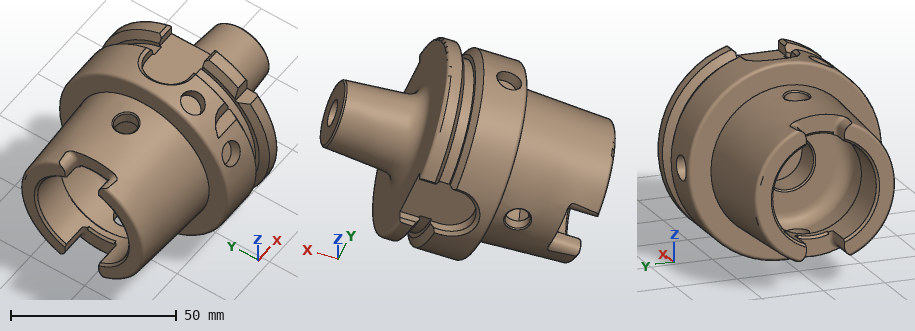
import cadquery as cq
import math


total_length = 83.0
shank_length = 32.0
flange_length = 25.9
flange_end = shank_length + flange_length
nose_root_radius = 5.0
nose_end_chamfer = 0.5
groove_center = 49.9
groove_floor_width = 3.65
groove_chamfer_width = 1.7

flange_diameter = 63.0
flange_radius = flange_diameter / 2
shank_root_radius = 24.3
taper_slope = 1 / 20
shank_mouth_radius = shank_root_radius - taper_slope * shank_length
nose_tip_radius = 10.6
nose_angle = math.radians(4.5)
nose_slope = math.tan(nose_angle)
groove_floor_radius = 27.5
groove_edge_radius = 28.9
edge_radius = 1.1

mouth_bore_radius = 16.85
mouth_chamfer = 0.75
clamp_shoulder_start = 12.9
clamp_bore_radius = 20.0
clamp_shoulder_tilt = math.radians(30)
clamp_shoulder_length = (clamp_bore_radius - mouth_bore_radius) * math.tan(clamp_shoulder_tilt)
bore_depth = 30.1
bore_floor_radius = 15.6
counterbore_radius = 8.5
counterbore_chamfer = 0.5
counterbore_depth = 10.0
through_radius = 4.2

slot_half_width = 6.2
slot_depth_top = 6.1
slot_depth_bottom = 10.0
slot_lip_radius = 2.9
slot_lip_start = 18.0
slot_floor_fillet = 1.25

cross_hole_position = 23.0
cross_hole_radius = 3.8
cross_hole_chamfer = 0.4

keyway_half_width = 8.0
keyway_center = 45.1
keyway_floor_height = 26.5
keyway_chamfer = 1.2

notch_offset = 19.9
notch_cutter_radius = 8.0
notch_cutter_position = 44.0
blind_hole_position = 38.2
blind_hole_radius = 4.0
blind_hole_depth = 3.8
diagonal_angle = 45.0
blind_hole_spread = 18.5
rear_hole_angle = 180.0

overcut = 4.15
selection_margin = 0.1


def revolve_about_axis(profile):
    return profile.close().revolve(360, (0, 0, 0), (1, 0, 0))


def make_round_ended_cutter(end_x, center_y, floor_z, radius):
    """Cutter with a round end centred at end_x, straight from there past the flange end."""
    height = flange_radius + overcut - floor_z
    length = flange_end + overcut - end_x
    plane = cq.Workplane("XY", origin=(end_x, center_y, floor_z))
    round_end = plane.circle(radius).extrude(height)
    return round_end.union(plane.box(length, 2 * radius, height, centered=(False, True, False)))


def make_body():
    """Shank, plain flange disc and nose as one solid of revolution."""
    root_center_x = flange_end + nose_root_radius
    nose_at_center = nose_tip_radius + nose_slope * (total_length - root_center_x)
    root_center_r = nose_at_center + nose_root_radius / math.cos(nose_angle)

    def root_point(angle):
        return (
            root_center_x + nose_root_radius * math.cos(angle),
            root_center_r + nose_root_radius * math.sin(angle),
        )

    root_end_angle = 1.5 * math.pi - nose_angle
    chamfer_start = total_length - nose_end_chamfer
    profile = (
        cq.Workplane("XY")
        .moveTo(0, 0)
        .lineTo(0, shank_mouth_radius)
        .lineTo(shank_length, shank_root_radius)
        .lineTo(shank_length, flange_radius)
        .lineTo(flange_end, flange_radius)
        .lineTo(*root_point(math.pi))
        .threePointArc(root_point((math.pi + root_end_angle) / 2), root_point(root_end_angle))
        .lineTo(chamfer_start, nose_tip_radius + nose_slope * nose_end_chamfer)
        .lineTo(total_length, nose_tip_radius - nose_end_chamfer)
        .lineTo(total_length, 0)
    )
    body = revolve_about_axis(profile)
    body = body.faces("<X").edges().fillet(edge_radius)
    flange_rims = cq.selectors.RadiusNthSelector(-1)
    return body.edges(flange_rims).edges("<X").fillet(edge_radius)


def make_bore():
    """Stepped bore with clamping shoulder, counterbore and through hole."""
    floor_fillet = clamp_bore_radius - bore_floor_radius
    counterbore_end = bore_depth + counterbore_depth
    profile = (
        cq.Workplane("XY")
        .moveTo(-overcut, 0)
        .lineTo(-overcut, mouth_bore_radius + mouth_chamfer)
        .lineTo(0, mouth_bore_radius + mouth_chamfer)
        .lineTo(mouth_chamfer, mouth_bore_radius)
        .lineTo(clamp_shoulder_start, mouth_bore_radius)
        .lineTo(clamp_shoulder_start + clamp_shoulder_length, clamp_bore_radius)
        .lineTo(bore_depth - floor_fillet, clamp_bore_radius)
        .radiusArc((bore_depth, bore_floor_radius), floor_fillet)
        .lineTo(bore_depth, counterbore_radius + counterbore_chamfer)
        .lineTo(bore_depth + counterbore_chamfer, counterbore_radius)
        .lineTo(counterbore_end, counterbore_radius)
        .lineTo(counterbore_end, through_radius)
        .lineTo(total_length + overcut, through_radius)
        .lineTo(total_length + overcut, 0)
    )
    return revolve_about_axis(profile)


def make_drive_slot(depth, side):
    """Slot from the shank mouth; side is +1 for the top and -1 for the bottom."""
    lip_y = slot_half_width + slot_lip_radius
    lip_top = slot_lip_start + slot_lip_radius
    lip_diagonal = slot_lip_radius * math.sqrt(0.5)
    lip_middle = (lip_y - lip_diagonal, slot_lip_start + lip_diagonal)
    inner_z = mouth_bore_radius / 2
    outer_z = flange_radius
    outer_y = lip_y + overcut
    slot = (
        cq.Workplane("YZ")
        .moveTo(0, inner_z)
        .lineTo(slot_half_width, inner_z)
        .lineTo(slot_half_width, slot_lip_start)
        .threePointArc(lip_middle, (lip_y, lip_top))
        .lineTo(outer_y, lip_top)
        .lineTo(outer_y, outer_z)
        .lineTo(0, outer_z)
        .mirrorY()
        .extrude(depth + overcut)
        .translate((-overcut, 0, 0))
        .faces(">X")
        .edges()
        .fillet(slot_floor_fillet)
    )
    bore_edge = revolve_about_axis(
        cq.Workplane("XY")
        .moveTo(0, 0)
        .lineTo(0, mouth_bore_radius + mouth_chamfer)
        .lineTo(depth, mouth_bore_radius + mouth_chamfer)
        .lineTo(depth + mouth_chamfer, mouth_bore_radius)
        .lineTo(depth + mouth_chamfer, 0)
    )
    chamfer_width = 2 * (slot_half_width - slot_floor_fillet)
    chamfer_span = cq.Workplane("XY").box(
        total_length, chamfer_width, flange_radius, centered=(True, True, False)
    )
    slot = slot.union(bore_edge.intersect(chamfer_span))
    return slot if side > 0 else slot.mirror("XY")


def cut_cross_hole(body):
    """Hole along Z through both shank walls, with chamfered outer rims."""
    hole = (
        cq.Workplane("XY")
        .center(cross_hole_position, 0)
        .circle(cross_hole_radius)
        .extrude(flange_radius, both=True)
    )
    body = body.cut(hole)
    reach = cross_hole_radius + selection_margin
    for side in (1, -1):
        wall_middle = (clamp_bore_radius + shank_root_radius) / 2
        low, high = sorted((side * wall_middle, side * flange_radius))
        outer_rim = cq.selectors.BoxSelector(
            (cross_hole_position - reach, -reach, low),
            (cross_hole_position + reach, reach, high),
            boundingbox=True,
        )
        body = body.edges(outer_rim).chamfer(cross_hole_chamfer)
    return body


def cut_keyways(body):
    """Round-ended keyways, open at the flange end, with chamfered rims."""
    reach = keyway_half_width + selection_margin
    for side in (1, -1):
        keyway = make_round_ended_cutter(
            keyway_center, 0, keyway_floor_height, keyway_half_width
        )
        if side < 0:
            keyway = keyway.mirror("XY")
        body = body.cut(keyway)
        rim_low = (keyway_floor_height + flange_radius) / 2
        low, high = sorted((side * rim_low, side * (flange_radius + selection_margin)))
        rim = cq.selectors.BoxSelector(
            (keyway_center - reach, -reach, low),
            (flange_end + selection_margin, reach, high),
            boundingbox=True,
        )
        body = body.edges(rim).chamfer(keyway_chamfer)
    return body


def make_flange_turning():
    """Rings turned off the flange: the V groove and the rounded rear edge."""
    half_floor = groove_floor_width / 2
    half_top = half_floor + groove_chamfer_width
    groove = revolve_about_axis(
        cq.Workplane("XY")
        .moveTo(groove_center - half_floor, groove_floor_radius)
        .lineTo(groove_center - half_floor, groove_edge_radius)
        .lineTo(groove_center - half_top, flange_radius)
        .lineTo(groove_center - half_top, flange_radius + overcut)
        .lineTo(groove_center + half_top, flange_radius + overcut)
        .lineTo(groove_center + half_top, flange_radius)
        .lineTo(groove_center + half_floor, groove_edge_radius)
        .lineTo(groove_center + half_floor, groove_floor_radius)
    )
    rear_edge = revolve_about_axis(
        cq.Workplane("XY")
        .moveTo(flange_end - edge_radius, flange_radius)
        .radiusArc((flange_end, flange_radius - edge_radius), edge_radius)
        .lineTo(flange_end + overcut, flange_radius - edge_radius)
        .lineTo(flange_end + overcut, flange_radius + overcut)
        .lineTo(flange_end - edge_radius, flange_radius + overcut)
    )
    return groove.union(rear_edge)


def make_corner_notch():
    """Notch on the -Y, +Z diagonal, milled by a round cutter from the flange end."""
    cutter_y = -notch_offset - notch_cutter_radius
    return make_round_ended_cutter(
        notch_cutter_position, cutter_y, notch_offset, notch_cutter_radius
    )


def make_blind_hole(angle):
    """Radial blind hole; the angle runs from -Y towards +Z."""
    hole = (
        cq.Workplane("XZ", origin=(blind_hole_position, 0, 0))
        .workplane(offset=flange_radius - blind_hole_depth)
        .circle(blind_hole_radius)
        .extrude(blind_hole_depth + overcut)
    )
    return hole.rotate((0, 0, 0), (1, 0, 0), -angle)


result = cut_keyways(make_body())
result = result.cut(make_flange_turning())
result = result.cut(make_bore())
result = result.cut(make_drive_slot(slot_depth_top, 1))
result = result.cut(make_drive_slot(slot_depth_bottom, -1))
result = cut_cross_hole(result)
result = result.cut(make_corner_notch())
blind_hole_angles = (
    diagonal_angle - blind_hole_spread,
    diagonal_angle + blind_hole_spread,
    rear_hole_angle,
)
for hole_angle in blind_hole_angles:
    result = result.cut(make_blind_hole(hole_angle))